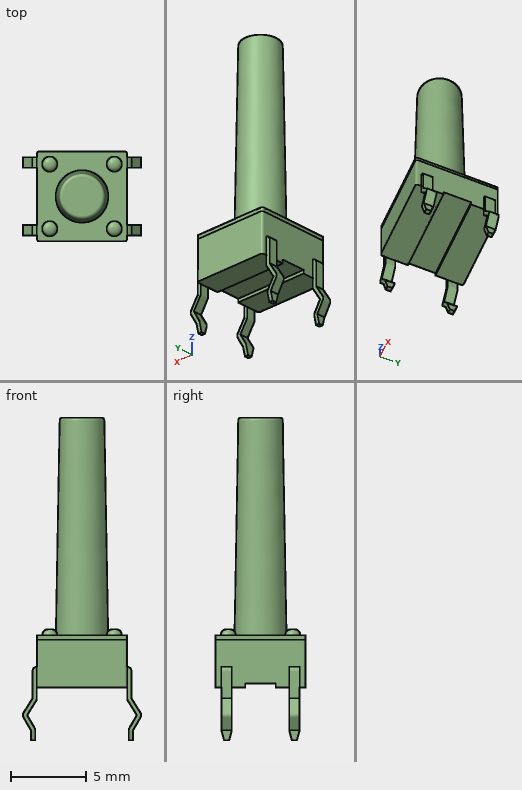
import cadquery as cq
import math


BODY_SIDE = 6.0
BODY_HEIGHT = 3.5
COVER_THICKNESS = 0.3
BASE_HEIGHT = BODY_HEIGHT - COVER_THICKNESS
CORNER_RADIUS = 0.15
NOTCH_WIDTH = 2.0
NOTCH_DEPTH = 0.28

RIVET_DIAMETER = 1.0
RIVET_EDGE_RADIUS = 0.8 / 2
RIVET_FLAT_RADIUS = RIVET_DIAMETER / 2 - RIVET_EDGE_RADIUS
RIVET_OFFSET = 2.15

PIN_DROP = 3.5
PIN_THICKNESS = 0.3
PIN_WIDTH = 0.7
PIN_OFFSET_Y = 2.25
PIN_TOP = 1.4
PIN_REACH = 7.9 / 2
CROOK_Z = -1.83
UPPER_LEAN = math.radians(32)
LOWER_LEAN = math.radians(30)
TIP_TOP = -2.84
TIP_END_WIDTH = 0.35

TOTAL_HEIGHT = 21.5
BUTTON_TOP = TOTAL_HEIGHT - PIN_DROP
BUTTON_HEIGHT = BUTTON_TOP - BODY_HEIGHT
BUTTON_BASE_DIAMETER = 3.5
BUTTON_TOP_DIAMETER = 2.99
BUTTON_EDGE_RADIUS = 0.2


def make_block(bottom, height):
    """Square block with rounded vertical edges."""
    block = cq.Workplane("XY").workplane(offset=bottom).rect(BODY_SIDE, BODY_SIDE).extrude(height)
    return block.edges("|Z").fillet(CORNER_RADIUS)


def make_base():
    """Housing with a shallow notch running through its underside along X."""
    notch = cq.Workplane("XY").box(BODY_SIDE, NOTCH_WIDTH, NOTCH_DEPTH, centered=(True, True, False))
    return make_block(0, BASE_HEIGHT).cut(notch)


def make_cover():
    """Cover plate with a round rivet head near each corner; a small flat tops each head."""
    cover = make_block(BASE_HEIGHT, COVER_THICKNESS)
    rivet_head = (
        cq.Workplane("XZ")
        .moveTo(0, 0)
        .lineTo(RIVET_DIAMETER / 2, 0)
        .radiusArc((RIVET_FLAT_RADIUS, RIVET_EDGE_RADIUS), -RIVET_EDGE_RADIUS)
        .lineTo(0, RIVET_EDGE_RADIUS)
        .close()
        .revolve(360, (0, 0), (0, 1))
    )
    for x in (-RIVET_OFFSET, RIVET_OFFSET):
        for y in (-RIVET_OFFSET, RIVET_OFFSET):
            cover = cover.union(rivet_head.translate((x, y, BODY_HEIGHT)))
    return cover


def make_button():
    """Tapered round button standing on the cover, with a rounded top edge."""
    button = (
        cq.Workplane("XY")
        .workplane(offset=BODY_HEIGHT)
        .circle(BUTTON_BASE_DIAMETER / 2)
        .workplane(offset=BUTTON_HEIGHT)
        .circle(BUTTON_TOP_DIAMETER / 2)
        .loft()
    )
    return button.faces(">Z").edges().fillet(BUTTON_EDGE_RADIUS)


def bend_point(center, angle):
    """Point on the rounded side of a bend, at an angle from +X about its sharp side."""
    return (
        center[0] + PIN_THICKNESS * math.cos(angle),
        center[1] + PIN_THICKNESS * math.sin(angle),
    )


def make_pin_strip():
    """Bent strip of the +X pin, centred on Y = 0, with the full width down to its end.

    Each bend is sharp on its hollow side and rounded about that sharp corner on the other.
    """
    inner_x = BODY_SIDE / 2
    outer_x = inner_x + PIN_THICKNESS
    crook = (PIN_REACH - PIN_THICKNESS, CROOK_Z)
    crook_start = bend_point(crook, UPPER_LEAN)
    crook_end = bend_point(crook, -LOWER_LEAN)
    shoulder = (outer_x, crook_start[1] + (crook_start[0] - outer_x) / math.tan(UPPER_LEAN))
    tip_outer_x = crook_end[0] - (crook_end[1] - TIP_TOP) * math.tan(LOWER_LEAN)
    tip_inner_x = tip_outer_x - PIN_THICKNESS
    ankle = (tip_outer_x, TIP_TOP)
    return (
        cq.Workplane("XZ")
        .moveTo(inner_x, PIN_TOP)
        .radiusArc((outer_x, PIN_TOP - PIN_THICKNESS), PIN_THICKNESS)
        .lineTo(*shoulder)
        .lineTo(*crook_start)
        .radiusArc(crook_end, PIN_THICKNESS)
        .lineTo(*ankle)
        .lineTo(tip_outer_x, -PIN_DROP)
        .lineTo(tip_inner_x, -PIN_DROP)
        .lineTo(tip_inner_x, TIP_TOP)
        .radiusArc(bend_point(ankle, math.pi - LOWER_LEAN), PIN_THICKNESS)
        .lineTo(*crook)
        .lineTo(*bend_point(shoulder, math.pi + UPPER_LEAN))
        .radiusArc((inner_x, shoulder[1]), PIN_THICKNESS)
        .close()
        .extrude(PIN_WIDTH / 2, both=True)
    )


def make_pin():
    """+X pin, centred on Y = 0, with its tip tapered in width."""
    width_outline = (
        cq.Workplane("YZ")
        .moveTo(-PIN_WIDTH / 2, PIN_TOP)
        .lineTo(PIN_WIDTH / 2, PIN_TOP)
        .lineTo(PIN_WIDTH / 2, TIP_TOP)
        .lineTo(TIP_END_WIDTH / 2, -PIN_DROP)
        .lineTo(-TIP_END_WIDTH / 2, -PIN_DROP)
        .lineTo(-PIN_WIDTH / 2, TIP_TOP)
        .close()
        .extrude(PIN_REACH)
    )
    return make_pin_strip().intersect(width_outline)


def make_pins():
    """Four pins, two on each X side of the base."""
    right_pin = make_pin()
    pins = []
    for pin in (right_pin, right_pin.mirror("YZ")):
        for y in (-PIN_OFFSET_Y, PIN_OFFSET_Y):
            pins.append(pin.translate((0, y, 0)).val())
    return pins


base = make_base()
cover = make_cover()
button = make_button()
pins = make_pins()

result = cq.Compound.makeCompound([base.val(), cover.val(), button.val(), *pins])